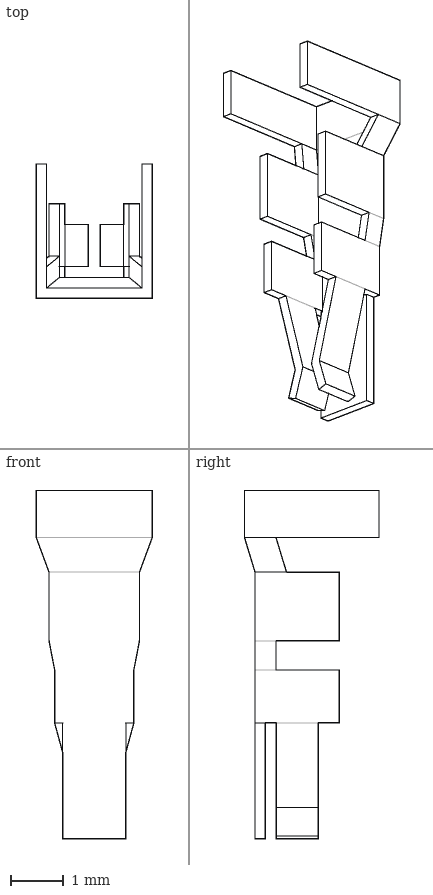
import cadquery as cq

sheet = 0.2
height = 6.6
collar_width = 2.2
collar_depth = 2.55

channel_front = 0.2
upper_width = 1.715
lower_width = 1.505
wing_depth = 1.6

collar_bottom = 5.7
upper_top = 5.05
upper_bottom = 3.75
lower_top = 3.2
lower_bottom = 2.2

top_neck_depth = 0.6
middle_neck_depth = 0.4

tongue_width = 1.2

leg_front = 0.6
leg_width = 0.8
knee_level = 0.595
knee_half_gap = 0.11
knee_thickness = 0.205
tip_flare = 0.17
tip_outer_level = 0.06
tip_thickness = 0.185


def channel_points(width, front, depth):
    """Corners of a U section, open toward +Y."""
    outer = width / 2
    inner = outer - sheet
    back = front + depth
    floor = front + sheet
    return [
        (-outer, front), (outer, front), (outer, back), (inner, back),
        (inner, floor), (-inner, floor), (-inner, back), (-outer, back),
    ]


def channel(width, front, depth, bottom, top):
    """Straight U channel between two levels."""
    points = channel_points(width, front, depth)
    return cq.Workplane("XY").workplane(offset=bottom).polyline(points).close().extrude(top - bottom)


def neck(bottom_section, top_section, bottom, top):
    """Tapered U channel with flat faces between two sections."""
    return (
        cq.Workplane("XY").workplane(offset=bottom).polyline(bottom_section).close()
        .workplane(offset=top - bottom).polyline(top_section).close()
        .loft(ruled=True)
    )


def leg():
    """Leg on the +X side: leans inward to the knee, then flares outward to its tip."""
    root_outer = lower_width / 2
    knee_outer = knee_half_gap + knee_thickness
    tip_outer = knee_outer + tip_flare
    profile = [
        (root_outer, lower_bottom),
        (knee_outer, knee_level),
        (tip_outer, tip_outer_level),
        (tip_outer - tip_thickness, 0),
        (knee_half_gap, knee_level),
        (root_outer - sheet, lower_bottom),
    ]
    return cq.Workplane("XZ", origin=(0, leg_front, 0)).polyline(profile).close().extrude(-leg_width)


collar = channel(collar_width, 0, collar_depth, collar_bottom, height)
upper_channel = channel(upper_width, channel_front, wing_depth, upper_bottom, upper_top)
lower_channel = channel(lower_width, channel_front, wing_depth, lower_bottom, lower_top)

top_neck = neck(
    channel_points(upper_width, channel_front, top_neck_depth),
    channel_points(collar_width, 0, top_neck_depth),
    upper_top, collar_bottom,
)
middle_neck = neck(
    channel_points(lower_width, channel_front, middle_neck_depth),
    channel_points(upper_width, channel_front, middle_neck_depth),
    lower_top, upper_bottom,
)

tongue = cq.Workplane("XY").box(tongue_width, sheet, lower_bottom, centered=(True, False, False))
tongue = tongue.translate((0, channel_front, 0))

right_leg = leg()
left_leg = right_leg.mirror("YZ")

result = collar
for piece in (top_neck, upper_channel, middle_neck, lower_channel, tongue, right_leg, left_leg):
    result = result.union(piece)